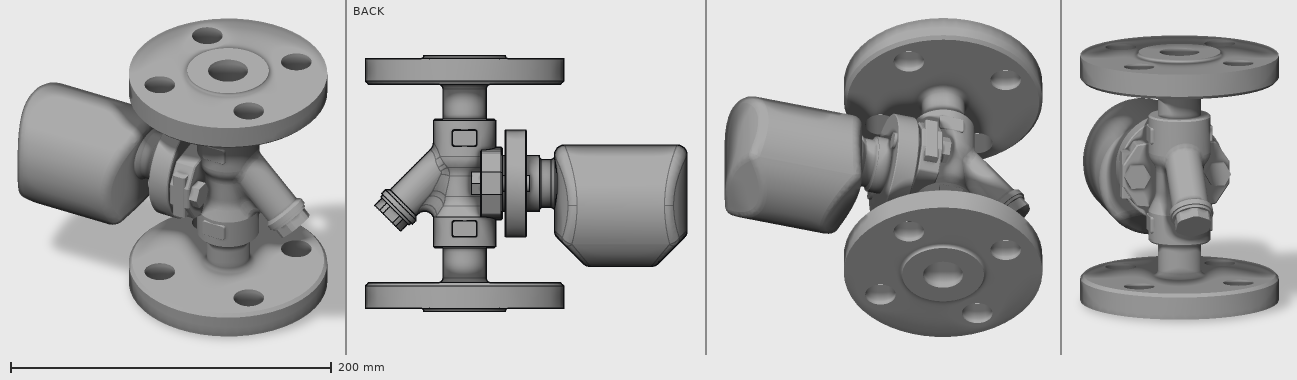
import cadquery as cq
import math


OVERALL_LENGTH = 201.0

HALF_LENGTH = 80.0
FLANGE_DIA = 124.0
FLANGE_THICKNESS = 16.0
FLANGE_CHAMFER = 2.0
RAISED_FACE_DIA = 51.0
RAISED_FACE_HEIGHT = 2.0
RAISED_FACE_FILLET = 1.8
BOLT_HOLE_DIA = 19.0
BOLT_HOLE_COUNT = 4
BOLT_CIRCLE_DIA = 89.0
FIRST_BOLT_ANGLE = 45.0
BORE_DIA = 25.0
PIPE_DIA = 27.1
PIPE_ROOT_FILLET = 3.0
FLANGE_BACK = HALF_LENGTH - RAISED_FACE_HEIGHT - FLANGE_THICKNESS

BODY_DIA = 39.0
BODY_HALF_HEIGHT = 40.2
BODY_CHAMFER = 1.0
NECK_DIA = 30.0
UPPER_SHOULDER_Z = 16.7
UPPER_STEP_Z = 9.8
NECK_TOP_Z = 4.6
NECK_BOTTOM_Z = -8.0
LOWER_STEP_Z = -14.0
LOWER_SHOULDER_Z = -21.0
UPPER_STEP_RADIUS = 16.9
LOWER_STEP_RADIUS = 16.3
PAD_WIDTH = 15.7
PAD_HEIGHT = 10.5
PAD_CORNER = 1.6
PAD_CHAMFER = 0.5
PAD_Z = 28.3
PAD_FACE_Y = 19.7

BRANCH_ANGLE = 45.0
BRANCH_AXIS_Z = 26.3
BRANCH_DIA = 23.0
BRANCH_START = 5.6
COLLAR_START = 54.3
COLLAR_END = 59.7
CAP_END = 61.5
HEAD_END = 68.0
COLLAR_DIA = 27.1
CAP_DIA = 25.0
HEAD_DIA = 23.0
HEAD_FLATS = 21.3
COLLAR_CHAMFER = 2.0
BRANCH_FILLET = 6.0

BLOCK_X_MIN = -23.5
BLOCK_X_MAX = -9.8
BLOCK_EDGE_CHAMFER = 0.8
BLOCK_SHOULDER_FILLET = 2.0
BLOCK_TOP_Z = 22.7
BLOCK_SHOULDER_Y = 25.1
BLOCK_SHOULDER_Z = 19.7
BLOCK_HALF_WIDTH = 33.8
BLOCK_SIDE_HALF_HEIGHT = 7.0
PANEL_X_MIN = -21.3
PANEL_X_MAX = -12.7
PANEL_HALF_HEIGHT = 14.7
PANEL_FACE_Y = -34.0
PANEL_CHAMFER = 0.8
DISC_DIA = 67.0
DISC_X_MIN = -38.5
DISC_X_MAX = -25.1
DISC_CHAMFER = 0.6
BOLT_Y = 25.5
BOLT_DIA = 10.0
BOLT_TIP_X = -40.5
NUT_FLATS = 14.0
NUT_END_X = -4.5

STEM_DIA = 35.0
STEM_NECK_DIA = 30.0
STEM_FLARE_DIA = 33.0
STEM_SHOULDER_X = -46.6
STEM_NECK_MAX_X = -47.8
STEM_NECK_MIN_X = -54.0
STEM_FLARE_X = -56.5
STEM_OVERLAP = 6.5
HOUSING_LENGTH = 83.0
HOUSING_X_MIN = FLANGE_DIA / 2 - OVERALL_LENGTH
HOUSING_X_MAX = HOUSING_X_MIN + HOUSING_LENGTH
HOUSING_DIA = 76.0
HOUSING_Z = -13.9
HOUSING_END_RADIUS = 74.4
HOUSING_BEVEL = 19.9
HOUSING_FILLET = 6.5


def cylinder_along_x(diameter, x_min, x_max, y=0.0):
    return cq.Workplane("YZ", origin=(x_min, y, 0)).circle(diameter / 2).extrude(x_max - x_min)


def hexagon_corners(flats):
    """Width across corners of a hexagon, from its width across flats."""
    return flats / math.cos(math.pi / 6)


def make_end():
    """Upper flange with raised face, bolt holes and its stub of pipe."""
    face_base = HALF_LENGTH - RAISED_FACE_HEIGHT
    face_radius = RAISED_FACE_DIA / 2
    pipe_radius = PIPE_DIA / 2
    flange_radius = FLANGE_DIA / 2
    face_sag = RAISED_FACE_FILLET * (1 - math.sqrt(0.5))
    root_sag = PIPE_ROOT_FILLET * (1 - math.sqrt(0.5))
    end = (
        cq.Workplane("XZ")
        .moveTo(0, 0)
        .lineTo(pipe_radius, 0)
        .lineTo(pipe_radius, FLANGE_BACK - PIPE_ROOT_FILLET)
        .threePointArc(
            (pipe_radius + root_sag, FLANGE_BACK - root_sag),
            (pipe_radius + PIPE_ROOT_FILLET, FLANGE_BACK),
        )
        .lineTo(flange_radius - FLANGE_CHAMFER, FLANGE_BACK)
        .lineTo(flange_radius, FLANGE_BACK + FLANGE_CHAMFER)
        .lineTo(flange_radius, face_base)
        .lineTo(face_radius + RAISED_FACE_FILLET, face_base)
        .threePointArc(
            (face_radius + face_sag, face_base + face_sag),
            (face_radius, face_base + RAISED_FACE_FILLET),
        )
        .lineTo(face_radius, HALF_LENGTH)
        .lineTo(0, HALF_LENGTH)
        .close()
        .revolve(360, (0, 0), (0, 1))
    )
    bolt_holes = (
        cq.Workplane("XY", origin=(0, 0, FLANGE_BACK))
        .polarArray(BOLT_CIRCLE_DIA / 2, FIRST_BOLT_ANGLE, 360, BOLT_HOLE_COUNT)
        .circle(BOLT_HOLE_DIA / 2)
        .extrude(FLANGE_THICKNESS)
    )
    return end.cut(bolt_holes)


def make_body():
    """Barrel with a waisted neck, rounded above and conical below."""
    radius = BODY_DIA / 2
    neck = NECK_DIA / 2
    profile = (
        cq.Workplane("XZ")
        .moveTo(0, -BODY_HALF_HEIGHT)
        .lineTo(radius - BODY_CHAMFER, -BODY_HALF_HEIGHT)
        .lineTo(radius, -BODY_HALF_HEIGHT + BODY_CHAMFER)
        .lineTo(radius, LOWER_SHOULDER_Z)
        .lineTo(LOWER_STEP_RADIUS, LOWER_STEP_Z)
        .tangentArcPoint((neck, NECK_BOTTOM_Z), relative=False)
        .lineTo(neck, NECK_TOP_Z)
        .tangentArcPoint((UPPER_STEP_RADIUS, UPPER_STEP_Z), relative=False)
        .tangentArcPoint((radius, UPPER_SHOULDER_Z), relative=False)
        .lineTo(radius, BODY_HALF_HEIGHT - BODY_CHAMFER)
        .lineTo(radius - BODY_CHAMFER, BODY_HALF_HEIGHT)
        .lineTo(0, BODY_HALF_HEIGHT)
        .close()
    )
    return profile.revolve(360, (0, 0), (0, 1)).rotate((0, 0, 0), (0, 0, 1), 180)


def branch_plane(distance):
    """Plane square to the branch axis, at a distance along it."""
    angle = math.radians(BRANCH_ANGLE)
    direction = (math.sin(angle), 0, -math.cos(angle))
    origin = (distance * direction[0], 0, BRANCH_AXIS_Z + distance * direction[2])
    return cq.Plane(origin=origin, xDir=(0, 1, 0), normal=direction)


def branch_cylinder(diameter, start, end):
    return cq.Workplane(branch_plane(start)).circle(diameter / 2).extrude(end - start)


def blend_branch(body):
    """Join the branch tube to the body and round the seam between them."""
    joined = body.union(branch_cylinder(BRANCH_DIA, BRANCH_START, COLLAR_END))
    frame = branch_plane(0)
    tolerance = 0.02

    def on_seam(edge):
        """Seam edges are curves on the branch surface, short of its free end."""
        for position in (0.0, 0.3, 0.7, 1.0):
            local = frame.toLocalCoords(edge.positionAt(position))
            off_surface = abs(math.hypot(local.x, local.y) - BRANCH_DIA / 2) > tolerance
            if off_surface or local.z > COLLAR_START:
                return False
        return edge.geomType() != "LINE"

    seam = [edge for edge in joined.edges().vals() if on_seam(edge)]
    return joined.newObject(seam).fillet(BRANCH_FILLET)


def make_strainer_cap():
    """Collar, cap rim and hexagonal head at the free end of the branch."""
    collar = branch_cylinder(COLLAR_DIA, COLLAR_START, COLLAR_END)
    collar = collar.faces(cq.selectors.DirectionMinMaxSelector(branch_plane(0).zDir, False))
    collar = collar.edges().chamfer(COLLAR_CHAMFER)
    rim = branch_cylinder(CAP_DIA, COLLAR_END, CAP_END)
    head = (
        cq.Workplane(branch_plane(CAP_END))
        .transformed(rotate=(0, 0, 90))
        .polygon(6, hexagon_corners(HEAD_FLATS))
        .extrude(HEAD_END - CAP_END)
    )
    head = head.intersect(branch_cylinder(HEAD_DIA, CAP_END, HEAD_END))
    return collar.union(rim).union(head)


def make_pads():
    """Flat raised pads on the -Y and +Y sides of both barrels."""
    return (
        cq.Workplane("XZ", origin=(0, -PAD_FACE_Y, 0))
        .pushPoints([(0, PAD_Z), (0, -PAD_Z)])
        .rect(PAD_WIDTH, PAD_HEIGHT)
        .extrude(-2 * PAD_FACE_Y)
        .edges("|Y")
        .fillet(PAD_CORNER)
        .faces("<Y or >Y")
        .edges()
        .chamfer(PAD_CHAMFER)
    )


def make_bonnet():
    """Block carrying the actuator flange, its side panel, bolts and nuts."""
    outline = [
        (0, BLOCK_TOP_Z),
        (BLOCK_SHOULDER_Y, BLOCK_SHOULDER_Z),
        (BLOCK_HALF_WIDTH, BLOCK_SIDE_HALF_HEIGHT),
        (BLOCK_HALF_WIDTH, -BLOCK_SIDE_HALF_HEIGHT),
        (BLOCK_SHOULDER_Y, -BLOCK_SHOULDER_Z),
        (0, -BLOCK_TOP_Z),
    ]
    mirrored = [(-y, z) for y, z in reversed(outline[1:-1])]
    bonnet = (
        cq.Workplane("YZ", origin=(BLOCK_X_MIN, 0, 0))
        .polyline(outline + mirrored)
        .close()
        .extrude(BLOCK_X_MAX - BLOCK_X_MIN)
    )
    middle_x = (BLOCK_X_MIN + BLOCK_X_MAX) / 2
    for y in (-BLOCK_SHOULDER_Y, BLOCK_SHOULDER_Y):
        for z in (-BLOCK_SHOULDER_Z, BLOCK_SHOULDER_Z):
            shoulder = bonnet.edges(cq.selectors.NearestToPointSelector((middle_x, y, z)))
            bonnet = shoulder.fillet(BLOCK_SHOULDER_FILLET)
    bonnet = bonnet.faces("<X or >X").edges().chamfer(BLOCK_EDGE_CHAMFER)
    panel = (
        cq.Workplane("XZ", origin=(0, PANEL_FACE_Y, 0))
        .center((PANEL_X_MIN + PANEL_X_MAX) / 2, 0)
        .rect(PANEL_X_MAX - PANEL_X_MIN, 2 * PANEL_HALF_HEIGHT)
        .extrude(PANEL_FACE_Y + BLOCK_SHOULDER_Y)
        .faces("<Y")
        .edges("|Z")
        .chamfer(PANEL_CHAMFER)
    )
    disc = cylinder_along_x(DISC_DIA, DISC_X_MIN, DISC_X_MAX).edges().chamfer(DISC_CHAMFER)
    bonnet = bonnet.union(panel).union(disc)
    for side in (-1, 1):
        bolt = cylinder_along_x(BOLT_DIA, BOLT_TIP_X, BLOCK_X_MAX, side * BOLT_Y)
        nut = (
            cq.Workplane("YZ", origin=(BLOCK_X_MAX, side * BOLT_Y, 0))
            .polygon(6, hexagon_corners(NUT_FLATS))
            .extrude(NUT_END_X - BLOCK_X_MAX)
        )
        bonnet = bonnet.union(bolt).union(nut)
    return bonnet


def make_stem():
    """Turned stem from the bonnet block into the actuator housing."""
    neck = STEM_NECK_DIA / 2
    flare = STEM_FLARE_DIA / 2
    barrel = STEM_DIA / 2
    inner_end = STEM_FLARE_X - STEM_OVERLAP
    return (
        cq.Workplane("XY")
        .moveTo(inner_end, 0)
        .lineTo(inner_end, flare)
        .lineTo(STEM_FLARE_X, flare)
        .lineTo(STEM_NECK_MIN_X, neck)
        .lineTo(STEM_NECK_MAX_X, neck)
        .lineTo(STEM_SHOULDER_X, flare)
        .lineTo(STEM_SHOULDER_X, barrel)
        .lineTo(BLOCK_X_MIN, barrel)
        .lineTo(BLOCK_X_MIN, 0)
        .close()
        .revolve(360, (0, 0), (1, 0))
    )


def make_housing():
    """Round housing with bulging ends and two lower edges cut at 45 degrees."""
    radius = HOUSING_DIA / 2
    bottom = HOUSING_Z - radius
    top = HOUSING_Z + radius
    barrel = (
        cq.Workplane("YZ", origin=(HOUSING_X_MIN, 0, HOUSING_Z))
        .circle(radius)
        .extrude(HOUSING_X_MAX - HOUSING_X_MIN)
    )
    margin = 2.0
    half = radius + margin
    bulge = HOUSING_END_RADIUS - math.sqrt(HOUSING_END_RADIUS**2 - half**2)
    plan = (
        cq.Workplane("XY", origin=(0, 0, bottom - margin))
        .moveTo(HOUSING_X_MIN + bulge, -half)
        .threePointArc((HOUSING_X_MIN, 0), (HOUSING_X_MIN + bulge, half))
        .lineTo(HOUSING_X_MAX - bulge, half)
        .threePointArc((HOUSING_X_MAX, 0), (HOUSING_X_MAX - bulge, -half))
        .close()
        .extrude(HOUSING_DIA + 2 * margin)
    )
    side = (
        cq.Workplane("XZ", origin=(0, half, 0))
        .moveTo(HOUSING_X_MIN - margin, top + margin)
        .lineTo(HOUSING_X_MAX + margin, top + margin)
        .lineTo(HOUSING_X_MAX + margin, bottom + HOUSING_BEVEL + margin)
        .lineTo(HOUSING_X_MAX - HOUSING_BEVEL - margin, bottom - margin)
        .lineTo(HOUSING_X_MIN + HOUSING_BEVEL + margin, bottom - margin)
        .lineTo(HOUSING_X_MIN - margin, bottom + HOUSING_BEVEL + margin)
        .close()
        .extrude(2 * half)
    )
    return barrel.intersect(plan).intersect(side).edges().fillet(HOUSING_FILLET)


upper_end = make_end()
result = blend_branch(make_body())
for feature in (
    make_pads(),
    make_strainer_cap(),
    make_bonnet(),
    make_stem(),
    make_housing(),
    upper_end,
    upper_end.mirror("XY"),
):
    result = result.union(feature)

for direction in (-1, 1):
    bore = (
        cq.Workplane("XY", origin=(0, 0, direction * BODY_HALF_HEIGHT))
        .circle(BORE_DIA / 2)
        .extrude(direction * (HALF_LENGTH - BODY_HALF_HEIGHT))
    )
    result = result.cut(bore)